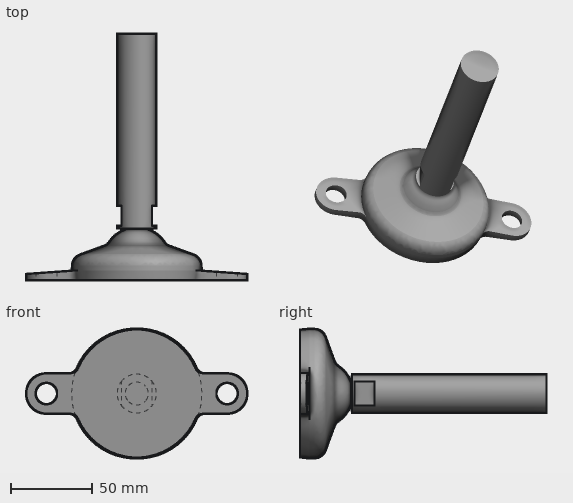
import cadquery as cq
import math

overall_length = 151.5

pad_radius = 40.0
flange_height = 6.0
flange_bottom_radius = 39.35
shoulder_slope = math.radians(20)
shoulder_corner_radius = 39.6
shoulder_corner_height = 14.15
shoulder_rounding = 7.7

dome_radius = 20.65
dome_center_height = 12.0
dome_blend_radius = 4.0

ear_span = 136.0
ear_width = 25.0
ear_tip_height = 4.0
ear_hole_diameter = 13.0
ear_blend_radius = 5.0

stem_diameter = 24.0
stem_start = 32.0
neck_radius = 7.0
stem_cone_height = 0.6
flat_spacing = 19.0
flat_start = 33.6
flat_length = 12.2

ear_radius = ear_width / 2
ear_tip = ear_span / 2
hole_spacing = ear_span - ear_width
stem_radius = stem_diameter / 2
neck_top = stem_start - stem_cone_height


def turn_to_y(shape):
    """Turn a shape built along +Z so that it rises along +Y."""
    return shape.rotate((0, 0, 0), (1, 0, 0), -90)


def circle_edge(height):
    """Selector for the circular edge centred on the axis at the given height."""
    return cq.selectors.NearestToPointSelector((0, 0, height))


def make_flange():
    """Tapered base disc with two ears, blended together and sloped down to the ear tips."""
    disc = (
        cq.Workplane("XY")
        .circle(flange_bottom_radius)
        .workplane(offset=flange_height)
        .circle(pad_radius)
        .loft(ruled=True)
    )
    ears = cq.Workplane("XY").slot2D(ear_span, ear_width).extrude(flange_height)
    corner_reach = math.sqrt(pad_radius ** 2 - ear_radius ** 2)
    flange = disc.union(ears)
    for side_x in (-1, 1):
        for side_y in (-1, 1):
            corner = (side_x * corner_reach, side_y * ear_radius, flange_height / 2)
            flange = flange.edges(cq.selectors.NearestToPointSelector(corner)).fillet(ear_blend_radius)

    slope_wedge = (
        cq.Workplane("XZ")
        .moveTo(pad_radius, flange_height)
        .lineTo(ear_tip, ear_tip_height)
        .lineTo(ear_tip, flange_height)
        .close()
        .extrude(ear_radius + ear_blend_radius, both=True)
    )
    flange = flange.cut(slope_wedge).cut(slope_wedge.mirror("YZ"))
    holes = (
        cq.Workplane("XY")
        .pushPoints([(-hole_spacing / 2, 0), (hole_spacing / 2, 0)])
        .circle(ear_hole_diameter / 2)
        .extrude(flange_height)
    )
    return flange.cut(holes)


def dome_meeting_radius():
    """Radius at which the sloping shoulder runs into the dome."""
    tangent = math.tan(shoulder_slope)
    apex_above_center = shoulder_corner_height + shoulder_corner_radius * tangent - dome_center_height
    a = 1 + tangent ** 2
    b = -2 * tangent * apex_above_center
    c = apex_above_center ** 2 - dome_radius ** 2
    return (-b + math.sqrt(b ** 2 - 4 * a * c)) / (2 * a)


def dome_height(radius):
    """Height of the dome surface at a distance from the axis."""
    return dome_center_height + math.sqrt(dome_radius ** 2 - radius ** 2)


def make_upper_pad():
    """Slightly tapered pad wall, rounded shoulder and dome above the flange."""
    meeting_radius = dome_meeting_radius()
    meeting_height = dome_height(meeting_radius)
    middle_radius = (meeting_radius + neck_radius) / 2
    body = (
        cq.Workplane("XZ")
        .moveTo(0, flange_height)
        .lineTo(pad_radius, flange_height)
        .lineTo(shoulder_corner_radius, shoulder_corner_height)
        .lineTo(meeting_radius, meeting_height)
        .threePointArc((middle_radius, dome_height(middle_radius)), (neck_radius, dome_height(neck_radius)))
        .lineTo(0, dome_height(neck_radius))
        .close()
        .revolve(360, (0, 0, 0), (0, 1, 0))
    )
    body = body.edges(circle_edge(shoulder_corner_height)).fillet(shoulder_rounding)
    return body.edges(circle_edge(meeting_height)).fillet(dome_blend_radius)


def make_stem():
    """Stem with a neck, a shallow conical underside and two wrench flats."""
    stem = (
        cq.Workplane("XZ")
        .moveTo(0, dome_center_height)
        .lineTo(neck_radius, dome_center_height)
        .lineTo(neck_radius, neck_top)
        .lineTo(stem_radius, stem_start)
        .lineTo(stem_radius, overall_length)
        .lineTo(0, overall_length)
        .close()
        .revolve(360, (0, 0, 0), (0, 1, 0))
    )
    for side in (-1, 1):
        flat_cutter = (
            cq.Workplane("XY")
            .box(stem_radius, stem_diameter, flat_length, centered=(True, True, False))
            .translate((side * (flat_spacing + stem_radius) / 2, 0, flat_start))
        )
        stem = stem.cut(flat_cutter)
    return stem


foot = make_flange().union(make_upper_pad()).union(make_stem())
result = turn_to_y(foot)